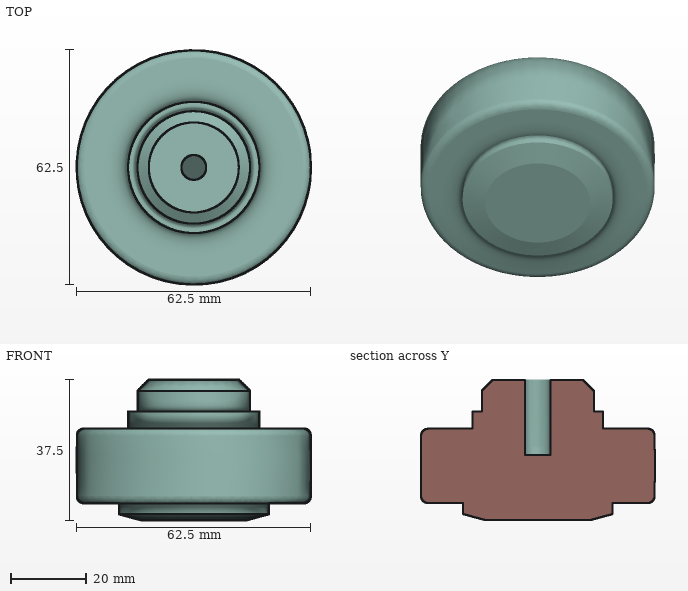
import cadquery as cq
import math

wheel_diameter = 62.5
wheel_width = 20.0
wheel_edge_radius = 2.0
crown_radius = 499.9

lower_hub_radius = 20.0
lower_face_radius = 14.0
lower_cone_height = 1.6
lower_hub_height = 4.5

shoulder_radius = 17.5
shoulder_height = 4.5
shaft_radius = 15.0
shaft_height = 8.5
shaft_chamfer = 3.0

hole_diameter = 6.6
hole_depth = 20.0

wheel_bottom = lower_hub_height
wheel_top = wheel_bottom + wheel_width
shoulder_top = wheel_top + shoulder_height
shaft_top = shoulder_top + shaft_height


def make_wheel():
    """Disc with a slightly crowned tread and rounded edges."""
    radius = wheel_diameter / 2
    half_width = wheel_width / 2
    crown_drop = crown_radius - math.sqrt(crown_radius**2 - half_width**2)
    edge_radius = radius - crown_drop
    profile = (
        cq.Workplane("XZ")
        .moveTo(0, wheel_bottom)
        .lineTo(edge_radius, wheel_bottom)
        .threePointArc((radius, wheel_bottom + half_width), (edge_radius, wheel_top))
        .lineTo(0, wheel_top)
        .close()
    )
    wheel = profile.revolve(360, (0, 0, 0), (0, 1, 0))
    return wheel.faces("<Z or >Z").edges().fillet(wheel_edge_radius)


def make_core():
    """Lower hub, shoulder and chamfered shaft revolved as one profile."""
    profile = [
        (0, 0),
        (lower_face_radius, 0),
        (lower_hub_radius, lower_cone_height),
        (lower_hub_radius, wheel_bottom),
        (shoulder_radius, wheel_bottom),
        (shoulder_radius, shoulder_top),
        (shaft_radius, shoulder_top),
        (shaft_radius, shaft_top - shaft_chamfer),
        (shaft_radius - shaft_chamfer, shaft_top),
        (0, shaft_top),
    ]
    return cq.Workplane("XZ").polyline(profile).close().revolve(360, (0, 0, 0), (0, 1, 0))


def make_hole():
    hole = cq.Workplane("XY").workplane(offset=shaft_top)
    return hole.circle(hole_diameter / 2).extrude(-hole_depth)


result = make_wheel().union(make_core()).cut(make_hole())